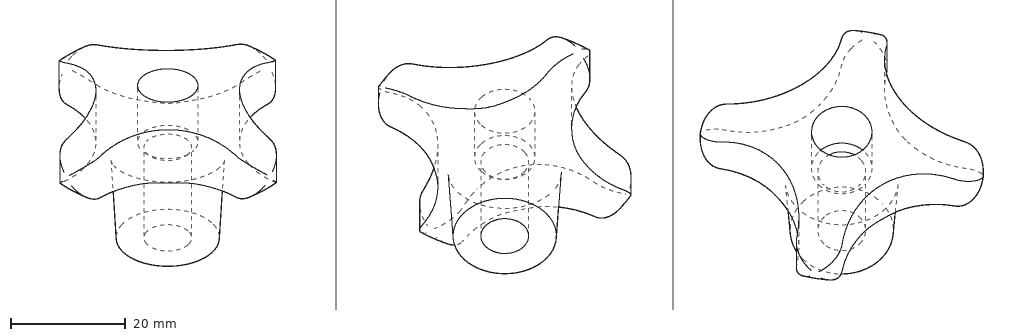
import cadquery as cq
import math

outer_radius = 25.0
tip_radius = 4.0
valley_radius = 16.5
head_bottom = 20.0
dome_apex = 32.0
hub_bottom_radius = 9.0
hub_taper = math.radians(3.0)
hub_fillet = 4.0
bore_radius = 4.15
counterbore_radius = 5.25
counterbore_floor = head_bottom
arm_count = 4
rim_land = 0.5

tip_center = outer_radius - tip_radius
lower_tip_z = head_bottom + tip_radius
upper_tip_z = lower_tip_z + rim_land
half_arm_angle = 180 / arm_count
valley_center = tip_radius + valley_radius

apex_rise = dome_apex - upper_tip_z
dome_radius = (tip_center**2 + apex_rise**2 - tip_radius**2) / (2 * (apex_rise - tip_radius))
dome_center_z = dome_apex - dome_radius
rim_z = dome_center_z + math.sqrt(dome_radius**2 - counterbore_radius**2)
cone_depth = counterbore_radius - bore_radius


def polar(center, radius, angle):
    """Point on a circle in the profile plane."""
    return (center[0] + radius * math.cos(angle), center[1] + radius * math.sin(angle))


def make_turned_sector():
    """Half-arm sector of the tapered hub, blend, domed head, and stepped through bore."""
    blend_z = head_bottom - hub_fillet
    wall_z = blend_z + hub_fillet * math.sin(hub_taper)
    wall_radius = hub_bottom_radius + wall_z * math.tan(hub_taper)
    blend_center = (wall_radius + hub_fillet * math.cos(hub_taper), blend_z)
    blend_start_angle = math.pi - hub_taper
    blend_mid_angle = (blend_start_angle + math.pi / 2) / 2

    lower_tip = (tip_center, lower_tip_z)
    upper_tip = (tip_center, upper_tip_z)
    dome = (0, dome_center_z)
    tangent_angle = math.atan2(upper_tip_z - dome_center_z, tip_center)
    rim_angle = math.acos(counterbore_radius / dome_radius)
    dome_mid_angle = (tangent_angle + rim_angle) / 2

    profile = (
        cq.Workplane("XZ")
        .moveTo(bore_radius, 0)
        .lineTo(hub_bottom_radius, 0)
        .lineTo(wall_radius, wall_z)
        .threePointArc(
            polar(blend_center, hub_fillet, blend_mid_angle),
            (blend_center[0], head_bottom),
        )
        .lineTo(tip_center, head_bottom)
        .threePointArc(polar(lower_tip, tip_radius, -math.pi / 4), (outer_radius, lower_tip_z))
        .lineTo(outer_radius, upper_tip_z)
        .threePointArc(
            polar(upper_tip, tip_radius, tangent_angle / 2),
            polar(upper_tip, tip_radius, tangent_angle),
        )
        .threePointArc(polar(dome, dome_radius, dome_mid_angle), (counterbore_radius, rim_z))
        .lineTo(counterbore_radius, counterbore_floor)
        .lineTo(bore_radius, counterbore_floor - cone_depth)
        .close()
    )
    return profile.revolve(half_arm_angle, (0, 0, 0), (0, 1, 0))


def make_half_arm_prism():
    """Plan outline from the centreline of one arm to the middle of the next valley."""
    diagonal = 1 / math.sqrt(2)
    tip_middle = tip_center + tip_radius * diagonal
    valley_middle = valley_center - valley_radius * diagonal
    half_valley_middle = math.pi / 8
    valley_quarter_point = (
        valley_center - valley_radius * math.sin(half_valley_middle),
        valley_center - valley_radius * math.cos(half_valley_middle),
    )
    return (
        cq.Workplane("XY")
        .lineTo(outer_radius, 0)
        .threePointArc((tip_middle, tip_radius * diagonal), (tip_center, tip_radius))
        .lineTo(valley_center, tip_radius)
        .threePointArc(valley_quarter_point, (valley_middle, valley_middle))
        .close()
        .extrude(dome_apex)
    )


half_arm = make_turned_sector().intersect(make_half_arm_prism())
arm = half_arm.union(half_arm.mirror("XZ"))
result = arm
for index in range(1, arm_count):
    result = result.union(arm.rotate((0, 0, 0), (0, 0, 1), index * 360 / arm_count))